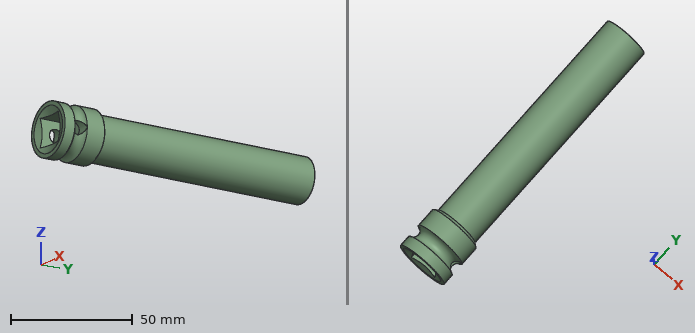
import cadquery as cq
import math

length = 127.0
collar_radius = 24.0 / 2
shaft_radius = 20.2 / 2

drive_end_y = -length / 2
groove_center = 8.1
groove_width = 6.1
groove_depth = 2.4
collar_length = 20.0
shoulder_length = 1.4

square_side = 12.7
square_depth = 16.0
lead_in_radius = 10.2
lead_in_angle = 20.0
pin_hole_diameter = 6.0


def make_body():
    """Revolve the collar, its round groove, the conical shoulder and the shaft."""
    groove_start = groove_center - groove_width / 2
    groove_end = groove_center + groove_width / 2
    profile = (
        cq.Workplane("XY", origin=(0, drive_end_y, 0))
        .lineTo(collar_radius, 0)
        .lineTo(collar_radius, groove_start)
        .threePointArc((collar_radius - groove_depth, groove_center), (collar_radius, groove_end))
        .lineTo(collar_radius, collar_length)
        .lineTo(shaft_radius, collar_length + shoulder_length)
        .lineTo(shaft_radius, length)
        .lineTo(0, length)
        .close()
    )
    return profile.revolve(360, (0, 0, 0), (0, 1, 0))


def make_square_socket():
    return (
        cq.Workplane("XZ", origin=(0, drive_end_y, 0))
        .rect(square_side, square_side)
        .extrude(-square_depth)
    )


def make_lead_in():
    """Cone that opens the mouth of the square socket."""
    cone_depth = lead_in_radius * math.tan(math.radians(lead_in_angle))
    cone = cq.Solid.makeCone(
        lead_in_radius, 0, cone_depth, cq.Vector(0, drive_end_y, 0), cq.Vector(0, 1, 0)
    )
    return cq.Workplane(cone)


def make_pin_hole():
    """Cross hole along X through both walls at the groove."""
    return (
        cq.Workplane("YZ", origin=(0, drive_end_y + groove_center, 0))
        .circle(pin_hole_diameter / 2)
        .extrude(collar_radius, both=True)
    )


result = make_body().cut(make_square_socket()).cut(make_lead_in()).cut(make_pin_hole())